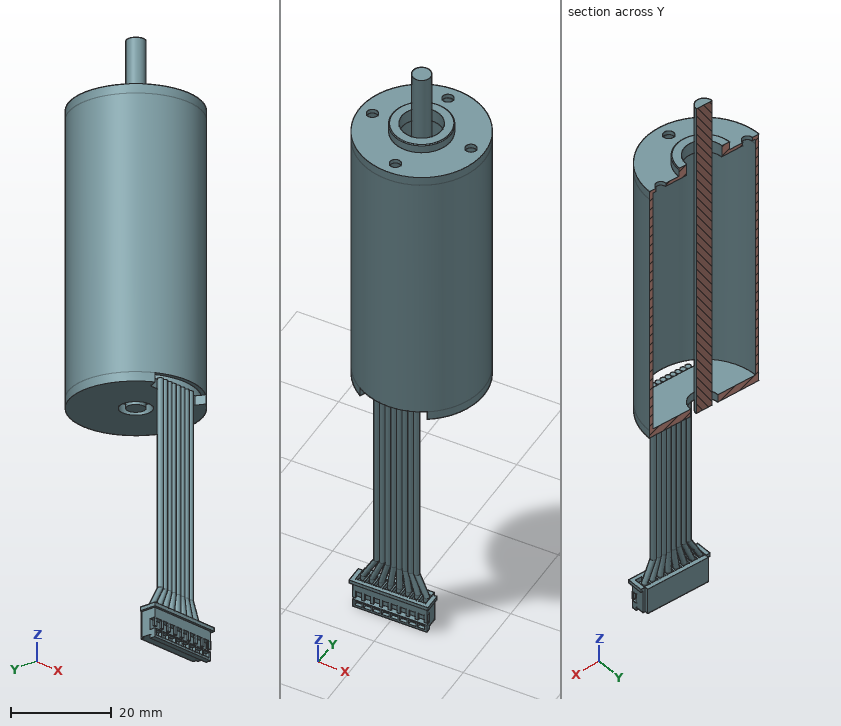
import cadquery as cq


housing_dia = 28.0
housing_length = 63.9
end_plate = 2.0
wall = 1.0
boss_dia = 13.2
boss_height = 2.0
boss_chamfer = 0.2
front_bore_dia = 9.0
rear_bore_dia = 7.0
bolt_circle_dia = 22.2
bolt_hole_dia = 2.4
bolt_count = 4

shaft_dia = 4.0
shaft_reach = 15.0

wire_count = 8
wire_dia = 1.3
wire_pitch = 1.28
cable_y = -10.5
fan_height = 5.2
cable_end = housing_length - end_plate

notch_inner_width = 13.2
notch_outer_width = 17.2
notch_back_y = cable_y + wire_dia / 2
notch_mouth_y = -housing_dia / 2

overall_length = 134.3
pin_pitch = 2.0
plug_width = 16.6
plug_front_y = -12.8
plug_back_y = -9.4
key_back_y = -8.6
key_inset = 0.5
plug_height = 7.1
collar_height = 0.8
collar_overhang = 0.5
lip_drop = 0.8
lip_depth = 1.2
slot_bottom = 1.9
slot_top = 4.2
rib_width = 0.7
rib_depth = 0.4
rib_bottom = 2.4
opening_width = 1.6
opening_bottom = 0.5
opening_top = 1.6
opening_depth = 0.8
socket_width = 1.6
socket_depth = 1.1
socket_front_y = -12.4
socket_back_y = -9.7

plug_bottom = shaft_reach - overall_length
plug_top = plug_bottom + plug_height
straight_wire = 4
centre_index = (wire_count - 1) / 2
plug_x = (straight_wire - centre_index) * (wire_pitch - pin_pitch)


def cylinder(diameter, bottom, top):
    return cq.Workplane("XY").workplane(offset=bottom).circle(diameter / 2).extrude(top - bottom)


def block(x_centre, width, y_range, z_range):
    y_min, y_max = y_range
    z_min, z_max = z_range
    corner = (x_centre - width / 2, y_min, z_min)
    return cq.Workplane("XY").box(width, y_max - y_min, z_max - z_min, centered=False).translate(corner)


def make_housing():
    body = cylinder(housing_dia, -housing_length, 0)
    boss = cylinder(boss_dia, 0, boss_height).faces(">Z").chamfer(boss_chamfer)
    cavity = cylinder(housing_dia - 2 * wall, -cable_end, -wall)
    front_bore = cylinder(front_bore_dia, -wall, boss_height)
    rear_bore = cylinder(rear_bore_dia, -housing_length, -cable_end)
    bolt_holes = (
        cq.Workplane("XY")
        .polarArray(bolt_circle_dia / 2, 0, 360, bolt_count)
        .circle(bolt_hole_dia / 2)
        .extrude(-wall)
    )
    notch = (
        cq.Workplane("XY")
        .workplane(offset=-housing_length)
        .polyline([
            (-notch_inner_width / 2, notch_back_y),
            (notch_inner_width / 2, notch_back_y),
            (notch_outer_width / 2, notch_mouth_y),
            (-notch_outer_width / 2, notch_mouth_y),
        ])
        .close()
        .extrude(end_plate)
    )
    body = body.union(boss).cut(cavity).cut(front_bore).cut(rear_bore).cut(bolt_holes).cut(notch)
    barrel_zone = cylinder(2 * housing_dia, -cable_end, -end_plate)
    ends = body.cut(barrel_zone)
    return body.intersect(barrel_zone).union(ends, clean=False)


def make_shaft():
    return cylinder(shaft_dia, -housing_length, shaft_reach)


def make_cable():
    fan_top = plug_top + fan_height
    cable = cq.Workplane("XY")
    for index in range(wire_count):
        wire_x = (index - centre_index) * wire_pitch
        pin_x = plug_x + (index - centre_index) * pin_pitch
        straight = cylinder(wire_dia, fan_top, -cable_end).translate((wire_x, cable_y, 0))
        spread = (
            cq.Workplane("XY")
            .workplane(offset=plug_top)
            .center(pin_x, cable_y)
            .circle(wire_dia / 2)
            .workplane(offset=fan_height)
            .center(wire_x - pin_x, 0)
            .circle(wire_dia / 2)
            .loft(ruled=True)
        )
        seated = cylinder(wire_dia, plug_top - socket_depth, plug_top).translate((pin_x, cable_y, 0))
        cable = cable.union(straight).union(spread).union(seated)
    return cable


def make_plug():
    def level(height):
        return plug_bottom + height

    body_z = (level(lip_drop), plug_top)
    slot_back_y = plug_front_y + lip_depth
    plug = block(plug_x, plug_width, (plug_front_y, plug_back_y), body_z)
    key = block(plug_x, plug_width - 2 * key_inset, (plug_back_y, key_back_y), body_z)
    collar = block(
        plug_x,
        plug_width + 2 * collar_overhang,
        (plug_front_y - collar_overhang, plug_back_y),
        (plug_top - collar_height, plug_top),
    )
    lip = block(plug_x, plug_width, (plug_front_y, slot_back_y), (plug_bottom, level(slot_bottom)))
    slot = block(plug_x, plug_width, (plug_front_y, slot_back_y), (level(slot_bottom), level(slot_top)))
    plug = plug.union(key).union(collar).union(lip).cut(slot)

    for index in range(wire_count + 1):
        rib_x = plug_x + (index - wire_count / 2) * pin_pitch
        rib = block(
            rib_x, rib_width, (plug_front_y, plug_front_y + rib_depth), (level(rib_bottom), level(slot_top))
        )
        plug = plug.union(rib)
    for index in range(wire_count):
        pin_x = plug_x + (index - centre_index) * pin_pitch
        socket = block(
            pin_x, socket_width, (socket_front_y, socket_back_y), (plug_top - socket_depth, plug_top)
        )
        opening = block(
            pin_x,
            opening_width,
            (plug_front_y, plug_front_y + opening_depth),
            (level(opening_bottom), level(opening_top)),
        )
        plug = plug.cut(socket).cut(opening)
    return plug


housing = make_housing()
shaft = make_shaft()
cable = make_cable()
plug = make_plug()

result = cq.Compound.makeCompound([body.solids().val() for body in (housing, shaft, cable, plug)])